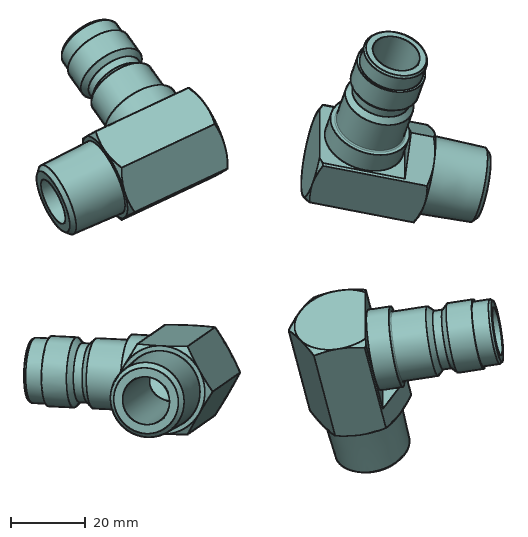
import cadquery as cq
import math


hex_across_flats = 24.0
hex_corner_radius = hex_across_flats / math.sqrt(3)
hex_back_y = 12.35
hex_front_y = -18.55
hex_chamfer_angle = math.radians(30)

seat_x = -7.35
seat_front_y = -11.25

thread_end_y = -34.65
thread_root_radius = 10.65
thread_taper = 1 / 32
thread_chamfer = 1.25

overall_length = 54.7
stub_end_x = hex_corner_radius - overall_length
tip_length = 5.15
tip_radius = 8.8
tip_chamfer_length = 0.65
tip_chamfer_depth = 0.45
stub_radius = 9.45
neck_radius = 8.0
groove_start = 12.1
neck_start = 13.6
neck_end = 16.05
groove_end = 17.6
collar_start = 27.45
collar_radius = 10.95
root_fillet = 0.35

bore_radius = 6.5


def hexagonal_body():
    """Hexagonal bar with both ends turned down to the inscribed circle."""
    length = hex_back_y - hex_front_y
    flat_radius = hex_across_flats / 2
    chamfer_height = (hex_corner_radius - flat_radius) * math.tan(hex_chamfer_angle)
    bar = (
        cq.Workplane("XZ", origin=(0, hex_back_y, 0))
        .polygon(6, 2 * hex_corner_radius)
        .extrude(length)
    )
    turned_envelope = (
        cq.Workplane("XY")
        .moveTo(0, hex_front_y)
        .lineTo(flat_radius, hex_front_y)
        .lineTo(hex_corner_radius, hex_front_y + chamfer_height)
        .lineTo(hex_corner_radius, hex_back_y - chamfer_height)
        .lineTo(flat_radius, hex_back_y)
        .lineTo(0, hex_back_y)
        .close()
        .revolve(360, (0, 0), (0, 1))
    )
    return bar.intersect(turned_envelope)


def seat_cutter():
    """Block that removes the pointed side of the hexagon behind the stub."""
    return cq.Workplane("XY").box(
        seat_x + hex_corner_radius,
        hex_back_y - seat_front_y,
        hex_across_flats,
        centered=(False, False, True),
    ).translate((-hex_corner_radius, seat_front_y, 0))


def threaded_end():
    """Tapered pipe end with a chamfered rim."""
    chamfer_y = thread_end_y + thread_chamfer
    chamfer_radius = thread_root_radius - (hex_front_y - chamfer_y) * thread_taper
    return (
        cq.Workplane("XY")
        .moveTo(0, hex_front_y)
        .lineTo(thread_root_radius, hex_front_y)
        .lineTo(chamfer_radius, chamfer_y)
        .lineTo(chamfer_radius - thread_chamfer, thread_end_y)
        .lineTo(0, thread_end_y)
        .close()
        .revolve(360, (0, 0), (0, 1))
    )


def stub():
    """Turned stub with a locking groove and a filleted collar against the seat."""
    seat_distance = seat_x - stub_end_x
    profile = [
        (0, 0),
        (0, tip_radius - tip_chamfer_depth),
        (tip_chamfer_length, tip_radius),
        (tip_length, tip_radius),
        (tip_length, stub_radius),
        (groove_start, stub_radius),
        (neck_start, neck_radius),
        (neck_end, neck_radius),
        (groove_end, stub_radius),
        (collar_start - root_fillet, stub_radius),
    ]
    arc_offset = root_fillet * math.sin(math.radians(45))
    fillet_center = (collar_start - root_fillet, stub_radius + root_fillet)
    fillet_middle = (fillet_center[0] + arc_offset, fillet_center[1] - arc_offset)
    turned = (
        cq.Workplane("XY")
        .polyline(profile)
        .threePointArc(fillet_middle, (collar_start, stub_radius + root_fillet))
        .lineTo(collar_start, collar_radius)
        .lineTo(seat_distance, collar_radius)
        .lineTo(seat_distance, 0)
        .close()
        .revolve(360, (0, 0), (1, 0))
    )
    return turned.translate((stub_end_x, 0, 0))


def bores():
    """Two blind bores that meet in the body."""
    stub_bore = cq.Workplane("YZ", origin=(stub_end_x, 0, 0)).circle(bore_radius).extrude(-stub_end_x)
    thread_bore = (
        cq.Workplane("XZ", origin=(0, bore_radius, 0))
        .circle(bore_radius)
        .extrude(bore_radius - thread_end_y)
    )
    return stub_bore.union(thread_bore)


body = hexagonal_body().cut(seat_cutter())
result = body.union(threaded_end()).union(stub()).cut(bores())